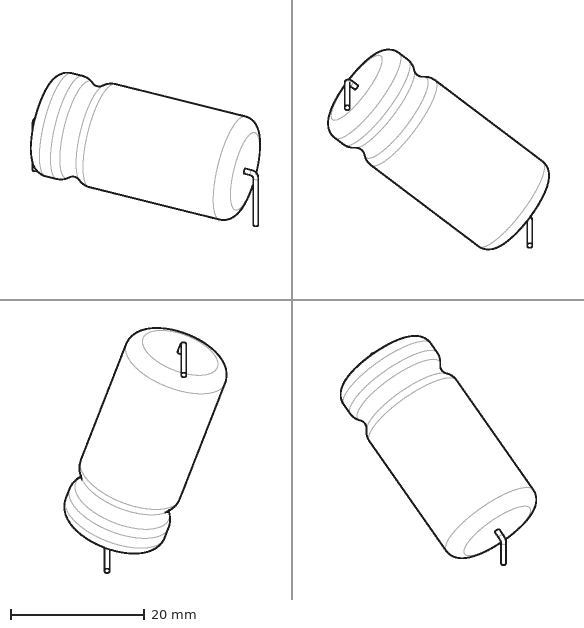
import cadquery as cq
import math

body_length = 32.05
body_radius = 16.0 / 2
edge_radius = 2.0
groove_offset = 6.4
groove_half_width = 2.62

overall_length = 36.4
lead_radius = 0.8 / 2
bend_radius = 0.8
lead_drop = 9.9
lead_embed = 0.73

body_end = body_length / 2
lead_x = overall_length / 2 - lead_radius
diagonal = math.sqrt(0.5)


def make_body():
    """Revolve the can profile, with rounded ends and a rolled groove."""
    inner_radius = body_radius - edge_radius
    corner_radius = inner_radius + edge_radius * diagonal
    corner_inset = edge_radius * (1 - diagonal)

    groove_x = -body_end + groove_offset
    half_depth = edge_radius - math.sqrt(edge_radius**2 - (groove_half_width / 2) ** 2)
    blend_radius = body_radius - half_depth
    floor_radius = body_radius - 2 * half_depth
    half_turn = math.asin(groove_half_width / 2 / edge_radius) / 2
    blend_mid_x = groove_half_width - edge_radius * math.sin(half_turn)
    blend_mid_radius = inner_radius + edge_radius * math.cos(half_turn)
    blend_x = groove_half_width / 2

    profile = (
        cq.Workplane("XY")
        .moveTo(-body_end, 0)
        .lineTo(-body_end, inner_radius)
        .threePointArc(
            (-body_end + corner_inset, corner_radius),
            (-body_end + edge_radius, body_radius),
        )
        .lineTo(groove_x - groove_half_width, body_radius)
        .threePointArc(
            (groove_x - blend_mid_x, blend_mid_radius),
            (groove_x - blend_x, blend_radius),
        )
        .threePointArc((groove_x, floor_radius), (groove_x + blend_x, blend_radius))
        .threePointArc(
            (groove_x + blend_mid_x, blend_mid_radius),
            (groove_x + groove_half_width, body_radius),
        )
        .lineTo(body_end - edge_radius, body_radius)
        .threePointArc(
            (body_end - corner_inset, corner_radius),
            (body_end, inner_radius),
        )
        .lineTo(body_end, 0)
        .close()
    )
    return profile.revolve(360, (0, 0, 0), (1, 0, 0))


def make_lead(side):
    """Sweep one bent wire; side is -1 for the left lead and +1 for the right."""
    bend_inset = bend_radius * (1 - diagonal)
    path = (
        cq.Workplane("XZ")
        .moveTo(side * (body_end - lead_embed), 0)
        .lineTo(side * (lead_x - bend_radius), 0)
        .threePointArc(
            (side * (lead_x - bend_inset), -bend_inset),
            (side * lead_x, -bend_radius),
        )
        .lineTo(side * lead_x, -lead_drop)
    )
    section = cq.Workplane("YZ", origin=(side * (body_end - lead_embed), 0, 0)).circle(lead_radius)
    return section.sweep(path)


result = make_body()
for side in (-1, 1):
    result = result.union(make_lead(side))